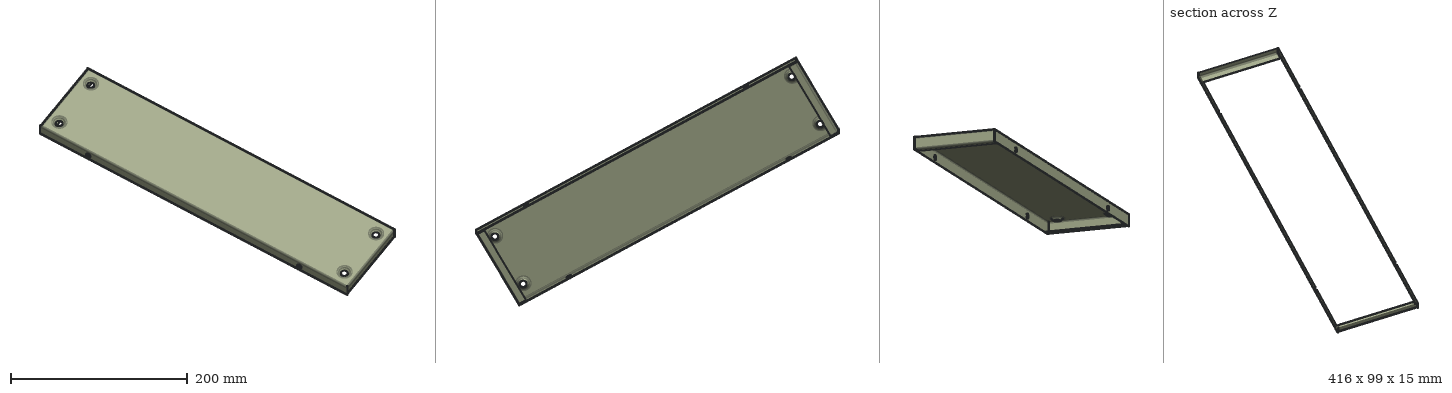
import cadquery as cq
import math

length = 416.0
width = 99.0
height = 15.0
sheet = 1.0
bend_radius = 1.5

end_flange_width = width - 2 * bend_radius
return_length = 10.0

screw_spacing_x = 386.0
screw_spacing_y = 65.0
rim_diameter = 17.0
bore_diameter = 7.0
rim_radius = 3.5
cone_angle = math.radians(45)

side_hole_spacing = 286.0
side_hole_diameter = 6.0
side_hole_height = 6.0


def rounded_bar(breadth, bottom, top, radius):
    """Bar over the full length, with its two long upper edges rounded."""
    bar = cq.Workplane("XY").box(length, breadth, top - bottom, centered=(True, True, False))
    return bar.translate((0, 0, bottom)).faces(">Z").edges("|X").fillet(radius)


def make_sides():
    """Top sheet with both side flanges folded down, cut back at the ends for the end folds."""
    outer = rounded_bar(width, 0, height, bend_radius)
    cavity = rounded_bar(width - 2 * sheet, -height, height - sheet, bend_radius - sheet)
    end_gap = cq.Workplane("XY").box(2 * bend_radius, end_flange_width, 4 * height)
    sides = outer.cut(cavity)
    for end in (-1, 1):
        sides = sides.cut(end_gap.translate((end * length / 2, 0, 0)))
    return sides


def make_ends():
    """Top sheet strip with both end flanges and their bottom returns, bent as one C-shaped section."""
    outer = cq.Workplane("XY").box(length, end_flange_width, height).edges("|Y").fillet(bend_radius)
    cavity = (
        cq.Workplane("XY")
        .box(length - 2 * sheet, end_flange_width, height - 2 * sheet)
        .edges("|Y")
        .fillet(bend_radius - sheet)
    )
    bottom_opening = cq.Workplane("XY").box(length - 2 * return_length, end_flange_width, height)
    section = outer.cut(cavity).cut(bottom_opening.translate((0, 0, -height / 2)))
    return section.translate((0, 0, height / 2))


def make_dimple():
    """Revolved sheet ring: rolled rim, cone and bore, centred on the Z axis."""
    rim = rim_diameter / 2
    bore = bore_diameter / 2

    def rim_point(radius, angle):
        return (rim - radius * math.sin(angle), height - rim_radius + radius * math.cos(angle))

    under_radius = rim_radius - sheet
    cone_top = rim_point(rim_radius, cone_angle)
    cone_under = rim_point(under_radius, cone_angle)
    lip = (bore, cone_top[1] - (cone_top[0] - bore) * math.tan(cone_angle))
    lip_under = (lip[0] + cone_under[0] - cone_top[0], lip[1] + cone_under[1] - cone_top[1])
    return (
        cq.Workplane("XZ")
        .moveTo(rim, height)
        .threePointArc(rim_point(rim_radius, cone_angle / 2), cone_top)
        .lineTo(*lip)
        .lineTo(*lip_under)
        .lineTo(*cone_under)
        .threePointArc(rim_point(under_radius, cone_angle / 2), (rim, height - sheet))
        .close()
        .revolve(360, (0, 0, 0), (0, 1, 0))
    )


def add_dimples(tray):
    """Replace a disc of the top sheet with a dimple at each corner."""
    dimple = make_dimple()
    disc = cq.Workplane("XY").workplane(offset=height - sheet).circle(rim_diameter / 2).extrude(sheet)
    for end in (-1, 1):
        for side in (-1, 1):
            place = (end * screw_spacing_x / 2, side * screw_spacing_y / 2, 0)
            tray = tray.cut(disc.translate(place)).union(dimple.translate(place))
    return tray


def cut_side_holes(tray):
    """Drill the two holes straight through both side flanges."""
    holes = (
        cq.Workplane("XZ", origin=(0, 0, side_hole_height))
        .pushPoints([(-side_hole_spacing / 2, 0), (side_hole_spacing / 2, 0)])
        .circle(side_hole_diameter / 2)
        .extrude(width, both=True)
    )
    return tray.cut(holes)


result = cut_side_holes(add_dimples(make_sides().union(make_ends())))